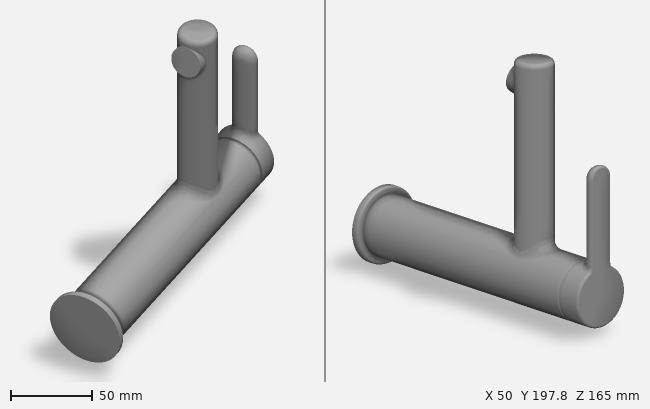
import cadquery as cq
import math

TOTAL_LENGTH = 197.8
FLANGE_DIAMETER = 50.0
FLANGE_RADIUS = FLANGE_DIAMETER / 2
FLANGE_THICKNESS = 5.0
FLANGE_ROUNDING = 1.5
BARREL_DIAMETER = 40.2
BARREL_RADIUS = BARREL_DIAMETER / 2
BARREL_END = 180.2
BARREL_END_ROUNDING = 0.4

NECK_RADIUS = BARREL_RADIUS - BARREL_END_ROUNDING
NECK_TAPER = 0.8
CAP_START = 182.6

TOTAL_HEIGHT = 165.0
SPOUT_Y = 137.5
SPOUT_DIAMETER = 25.1
SPOUT_RADIUS = SPOUT_DIAMETER / 2
SPOUT_TOP = TOTAL_HEIGHT - FLANGE_RADIUS
SPOUT_TOP_ROUNDING = 3.2
SPOUT_ROOT_FILLET = 6.3

AERATOR_RADIUS = 10.3
AERATOR_LENGTH = 11.9
AERATOR_TILT = 10.0
AERATOR_FACE_Y = 123.0
AERATOR_FACE_Z = 124.8

LEVER_HALF_WIDTH = 8.5
LEVER_TOP = 84.9
LEVER_THICKNESS = 8.3
LEVER_ROUNDING = 6.3
LEVER_ROOT_FILLET = 3.5
HANDLE_BACK_ROUNDING = 1.8


def y_cylinder(radius, start, end):
    """Solid cylinder on the barrel axis between two Y positions."""
    return cq.Workplane("XZ", origin=(0, start, 0)).circle(radius).extrude(start - end)


def make_flange():
    flange = y_cylinder(FLANGE_RADIUS, 0, FLANGE_THICKNESS)
    return flange.faces(">Y").edges().fillet(FLANGE_ROUNDING)


def make_aerator():
    tilt = math.radians(AERATOR_TILT)
    inward = cq.Vector(0, math.cos(tilt), -math.sin(tilt))
    face_center = cq.Vector(0, AERATOR_FACE_Y, AERATOR_FACE_Z)
    plug = cq.Solid.makeCylinder(AERATOR_RADIUS, AERATOR_LENGTH, face_center, inward)
    return cq.Workplane(plug)


def make_spout_body(aerator):
    """Barrel and spout in one piece, with a pocket for the aerator."""
    barrel = y_cylinder(BARREL_RADIUS, FLANGE_THICKNESS, BARREL_END)
    barrel = barrel.faces(">Y").edges().fillet(BARREL_END_ROUNDING)
    spout = cq.Workplane("XY", origin=(0, SPOUT_Y, 0)).circle(SPOUT_RADIUS).extrude(SPOUT_TOP)
    body = barrel.union(spout)

    root_zone = cq.selectors.BoxSelector(
        (-BARREL_RADIUS, SPOUT_Y - SPOUT_RADIUS, 0),
        (BARREL_RADIUS, SPOUT_Y + SPOUT_RADIUS, BARREL_RADIUS),
        boundingbox=False,
    )
    body = body.edges(root_zone).edges("not %LINE").fillet(SPOUT_ROOT_FILLET)
    body = body.faces(">Z").edges().fillet(SPOUT_TOP_ROUNDING)
    return body.cut(aerator)


def make_neck_ring():
    ring = cq.Solid.makeCone(
        NECK_RADIUS,
        NECK_RADIUS - NECK_TAPER,
        CAP_START - BARREL_END,
        cq.Vector(0, BARREL_END, 0),
        cq.Vector(0, 1, 0),
    )
    return cq.Workplane(ring)


def make_lever():
    """Lever with a semicircular tip and a rounded inner edge."""
    lever = (
        cq.Workplane("XZ", origin=(0, TOTAL_LENGTH, 0))
        .moveTo(-LEVER_HALF_WIDTH, 0)
        .lineTo(-LEVER_HALF_WIDTH, LEVER_TOP - LEVER_HALF_WIDTH)
        .threePointArc((0, LEVER_TOP), (LEVER_HALF_WIDTH, LEVER_TOP - LEVER_HALF_WIDTH))
        .lineTo(LEVER_HALF_WIDTH, 0)
        .close()
        .extrude(LEVER_THICKNESS)
    )
    return lever.faces("<Y").edges("not <Z").fillet(LEVER_ROUNDING)


def make_handle():
    cap = y_cylinder(BARREL_RADIUS, CAP_START, TOTAL_LENGTH)
    handle = cap.union(make_lever())
    lever_base = math.sqrt(BARREL_RADIUS**2 - LEVER_HALF_WIDTH**2)
    root_zone = cq.selectors.BoxSelector(
        (-LEVER_HALF_WIDTH, TOTAL_LENGTH - LEVER_THICKNESS - LEVER_ROUNDING, lever_base - LEVER_ROUNDING),
        (LEVER_HALF_WIDTH, TOTAL_LENGTH, BARREL_RADIUS + LEVER_ROUNDING),
        boundingbox=True,
    )
    handle = handle.edges(root_zone).fillet(LEVER_ROOT_FILLET)
    return handle.faces(">Y").edges().fillet(HANDLE_BACK_ROUNDING)


flange = make_flange()
aerator = make_aerator()
spout_body = make_spout_body(aerator)
neck_ring = make_neck_ring()
handle = make_handle()

result = cq.Compound.makeCompound(
    [flange.val(), *spout_body.vals(), aerator.val(), neck_ring.val(), *handle.vals()]
)